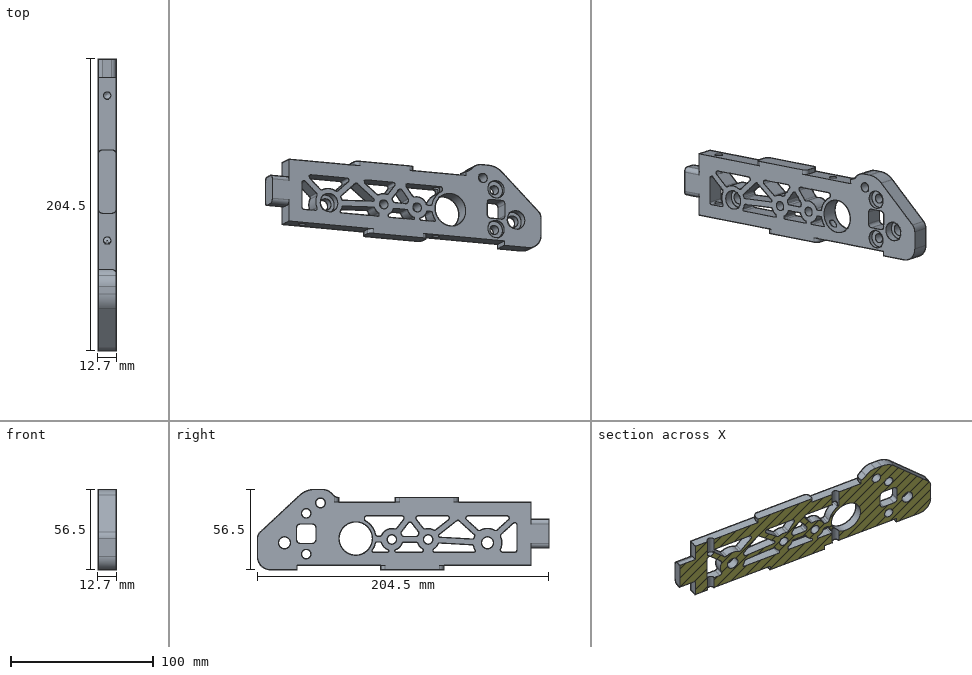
import cadquery as cq
import math

INCH = 25.4
thickness = 0.5 * INCH
body_height = 1.75 * INCH
mid_height = body_height / 2
pad_height = 0.125 * INCH
left_face = -thickness / 2

tang_length = 0.5 * INCH
tang_height = 0.8 * INCH
tang_edge_radius = 0.125 * INCH

pad_length = 1.75 * INCH
top_pad_start = -2.0 * INCH
bottom_pad_start = -2.4 * INCH
pad_corner_radius = 0.125 * INCH

head_end = -(8.05 * INCH - tang_length)
head_top = 2.1 * INCH
head_step = -5.3 * INCH
foot_step = -6.45 * INCH
slope_angle = 43
slope_foot = 21.5
slope_top_radius = 0.6 * INCH
slope_foot_radius = 0.25 * INCH
heel_radius = 0.375 * INCH
nose_radius = 0.375 * INCH
nose_center = (-146.4, head_top - nose_radius)
head_corner_radius = 0.125 * INCH

nose_hole = (-147.5, nose_center[1])
nose_hole_diameter = 6.6
rear_pin = (-1.2 * INCH, 0.625 * INCH)
head_pin = (-6.8 * INCH, 0.625 * INCH)
pin_diameter = 8.2
pin_recess_diameter = 13.2
pin_recess_depth = 0.25 * INCH
screw_y = -6.2 * INCH
screw_spacing = 1.125 * INCH
screw_diameter = 6.4
screw_recess_diameter = 12.4
screw_recess_depth = 0.125 * INCH
square_width = 13.4
square_corner_radius = 2.5
bolt_spacing = 1.0 * INCH
middle_bolt = (-72.1, 18.2)
front_bolt = (middle_bolt[0] - bolt_spacing, middle_bolt[1])
bolt_diameter = 6.4
large_bore = (-122.8, 18.85)
large_bore_diameter = 23.2

window_start = -9.9
window_end = -116.6
window_bottom = 9.4
window_top = 34.7
pin_boss_radius = 10.16
bolt_boss_radius = 7.7
bore_boss_radius = 14.2
strut_width = 4.2
wide_post_width = 7.0
narrow_post_width = 4.2
cell_corner_radius = 1.5
tight_corner_radius = 0.8
short_wall_length = 2.0

edge_hole_stations = (-0.5 * INCH, -4.5 * INCH)
edge_hole_diameter = 5.1
edge_hole_depth = 0.5 * INCH
drill_point_angle = 118


def box(y_start, y_end, z_low, z_high):
    """Full-thickness block between two Y stations and two Z levels."""
    block = cq.Workplane("XY").box(thickness, abs(y_start - y_end), z_high - z_low)
    return block.translate((0, (y_start + y_end) / 2, (z_low + z_high) / 2))


def cylinder(center, diameter, depth=thickness):
    """Cylinder along X that starts on the -X face."""
    sketch = cq.Workplane("YZ", origin=(left_face, 0, 0)).center(*center)
    return sketch.circle(diameter / 2).extrude(depth)


def make_tang():
    tang_bottom = mid_height - tang_height / 2
    tang = box(tang_length, 0, tang_bottom, tang_bottom + tang_height)
    return tang.edges("|Y").fillet(tang_edge_radius)


def make_pad(y_start, z_low):
    pad = box(y_start, y_start - pad_length, z_low, z_low + pad_height)
    return pad.edges("|Z").fillet(pad_corner_radius)


def make_head():
    """Head plate: concave throat, rounded nose, sloped end and rounded heel."""
    step_top = body_height + pad_height
    nose_y, nose_z = nose_center
    throat_run = head_step - nose_y
    step_rise = step_top - nose_z
    tangent_excess = throat_run ** 2 + step_rise ** 2 - nose_radius ** 2
    throat_radius = tangent_excess / (2 * (nose_radius - step_rise))
    throat_y = head_step
    throat_z = step_top + throat_radius
    share = nose_radius / (nose_radius + throat_radius)
    throat_end = (nose_y + share * (throat_y - nose_y), nose_z + share * (throat_z - nose_z))
    throat_angle = math.atan2(throat_end[1] - throat_z, throat_end[0] - throat_y) % (2 * math.pi)
    throat_mid_angle = (throat_angle + 1.5 * math.pi) / 2
    throat_mid = (
        throat_y + throat_radius * math.cos(throat_mid_angle),
        throat_z + throat_radius * math.sin(throat_mid_angle),
    )
    nose_start_angle = throat_angle - math.pi
    nose_mid_angle = (nose_start_angle + math.pi / 2) / 2
    nose_mid = (
        nose_y + nose_radius * math.cos(nose_mid_angle),
        nose_z + nose_radius * math.sin(nose_mid_angle),
    )
    slope_top_y = head_end + (head_top - slope_foot) / math.tan(math.radians(slope_angle))
    head = (
        cq.Workplane("YZ", origin=(left_face, 0, 0))
        .moveTo(head_step, 0)
        .lineTo(head_step, step_top)
        .threePointArc(throat_mid, throat_end)
        .threePointArc(nose_mid, (nose_y, head_top))
        .lineTo(slope_top_y, head_top)
        .lineTo(head_end, slope_foot)
        .lineTo(head_end, -pad_height)
        .lineTo(foot_step, -pad_height)
        .lineTo(foot_step, 0)
        .close()
        .extrude(thickness)
    )
    selection_reach = 0.1
    for corner, radius in (
        ((slope_top_y, head_top), slope_top_radius),
        ((head_end, slope_foot), slope_foot_radius),
        ((head_end, -pad_height), heel_radius),
    ):
        corner_box = cq.selectors.BoxSelector(
            (-thickness, corner[0] - selection_reach, corner[1] - selection_reach),
            (thickness, corner[0] + selection_reach, corner[1] + selection_reach),
        )
        head = head.edges(corner_box).fillet(radius)
    return round_head_step(head)


def round_head_step(head):
    """Round the upright +X corner of the head step, above the body only."""
    r = head_corner_radius
    corner = box(head_step, head_step - r, body_height, head_top).translate((thickness - r, 0, 0))
    rounding = (
        cq.Workplane("XY", origin=(thickness / 2 - r, head_step - r, body_height))
        .circle(r)
        .extrude(head_top - body_height)
    )
    return head.cut(corner.cut(rounding))


def make_strut(start, end, width):
    """Bar of the given width centred on the line from start to end."""
    run = end[0] - start[0]
    rise = end[1] - start[1]
    return (
        cq.Workplane("YZ", origin=(left_face, 0, 0))
        .center((start[0] + end[0]) / 2, (start[1] + end[1]) / 2)
        .transformed(rotate=(0, 0, math.degrees(math.atan2(rise, run))))
        .rect(math.hypot(run, rise), width)
        .extrude(thickness)
    )


def make_window_cells():
    """Window material to remove: the rectangle less its bosses and struts."""
    cells = box(window_start, window_end, window_bottom, window_top)
    for center, radius in (
        (rear_pin, pin_boss_radius),
        (middle_bolt, bolt_boss_radius),
        (front_bolt, bolt_boss_radius),
        (large_bore, bore_boss_radius),
    ):
        cells = cells.cut(cylinder(center, 2 * radius))
    corner_node = (window_start, window_top)
    rear_node = (2 * rear_pin[0] - window_start, window_top)
    front_node = ((middle_bolt[0] + front_bolt[0]) / 2, window_top)
    for start, end, width in (
        (rear_pin, corner_node, strut_width),
        (rear_pin, rear_node, strut_width),
        (middle_bolt, rear_node, strut_width),
        (middle_bolt, front_node, strut_width),
        (front_bolt, front_node, strut_width),
        (rear_pin, middle_bolt, strut_width),
        (middle_bolt, front_bolt, strut_width),
        (front_bolt, large_bore, strut_width),
        (middle_bolt, (middle_bolt[0], 0), wide_post_width),
        (front_bolt, (front_bolt[0], 0), narrow_post_width),
    ):
        cells = cells.cut(make_strut(start, end, width))
    return round_cells(cells)


def round_cells(cells):
    """Round the corners of every cell, using the tight radius where a cell has a short wall."""
    rounded = cq.Workplane("YZ")
    for cell in cells.solids().vals():
        walls = cq.Workplane(cell).faces("<X").edges().vals()
        shortest_wall = min(wall.Length() for wall in walls)
        radius = tight_corner_radius if shortest_wall < short_wall_length else cell_corner_radius
        rounded = rounded.add(cq.Workplane(cell).edges("|X").fillet(radius))
    return rounded.combine()


def make_recessed_hole(center, diameter, recess_diameter, recess_depth):
    return cylinder(center, diameter).union(cylinder(center, recess_diameter, recess_depth))


def make_square_opening():
    half = square_width / 2
    opening = box(screw_y + half, screw_y - half, mid_height - half, mid_height + half)
    return opening.edges("|X").fillet(square_corner_radius)


def make_edge_hole(y, z_surface, direction):
    """Blind drilled hole with a conical point; direction is +1 upward, -1 downward."""
    radius = edge_hole_diameter / 2
    point_length = radius / math.tan(math.radians(drill_point_angle / 2))
    shoulder = z_surface + direction * edge_hole_depth
    return (
        cq.Workplane("XZ", origin=(0, y, 0))
        .moveTo(0, z_surface)
        .lineTo(radius, z_surface)
        .lineTo(radius, shoulder)
        .lineTo(0, shoulder + direction * point_length)
        .close()
        .revolve(360, (0, 0, 0), (0, 1, 0))
    )


plate = box(0, head_step, 0, body_height)
plate = plate.union(make_head()).union(make_tang())
plate = plate.union(make_pad(top_pad_start, body_height))
plate = plate.union(make_pad(bottom_pad_start, -pad_height))

plate = plate.cut(make_window_cells())
for pin in (rear_pin, head_pin):
    plate = plate.cut(make_recessed_hole(pin, pin_diameter, pin_recess_diameter, pin_recess_depth))
for side in (-1, 1):
    screw = (screw_y, mid_height + side * screw_spacing / 2)
    plate = plate.cut(
        make_recessed_hole(screw, screw_diameter, screw_recess_diameter, screw_recess_depth)
    )
for bolt in (middle_bolt, front_bolt):
    plate = plate.cut(cylinder(bolt, bolt_diameter))
plate = plate.cut(cylinder(nose_hole, nose_hole_diameter))
plate = plate.cut(cylinder(large_bore, large_bore_diameter))
plate = plate.cut(make_square_opening())
for station in edge_hole_stations:
    plate = plate.cut(make_edge_hole(station, body_height, -1))
    plate = plate.cut(make_edge_hole(station, 0, 1))

result = plate